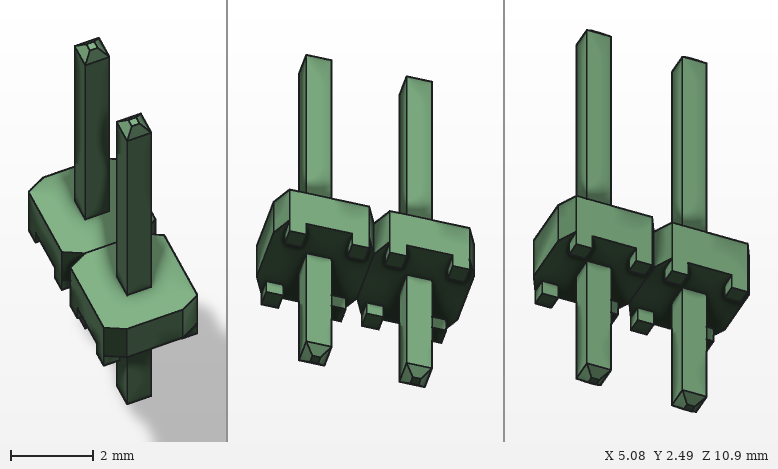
import cadquery as cq

pin_count = 2
row_length = 5.08
pitch = row_length / pin_count

housing_depth = 2.49
housing_height = 1.12
corner_x = 0.26
corner_y = 0.5
foot_size = 0.43
foot_height = 0.39

pin_length = 10.92
pin_below = 3.44
pin_width = 0.64
tip_height = 0.22
tip_width = 0.21


def make_housing():
    """Block with four cut corners, four square feet and a square through hole."""
    half_x = pitch / 2
    half_y = housing_depth / 2
    flat_x = half_x - corner_x
    flat_y = half_y - corner_y
    outline = [
        (-flat_x, -half_y),
        (flat_x, -half_y),
        (half_x, -flat_y),
        (half_x, flat_y),
        (flat_x, half_y),
        (-flat_x, half_y),
        (-half_x, flat_y),
        (-half_x, -flat_y),
    ]
    block = cq.Workplane("XY").polyline(outline).close().extrude(housing_height)

    foot_spacing_x = 2 * flat_x - foot_size
    foot_spacing_y = housing_depth - foot_size
    feet = (
        cq.Workplane("XY")
        .rarray(foot_spacing_x, foot_spacing_y, 2, 2)
        .rect(foot_size, foot_size)
        .extrude(-foot_height)
    )
    pin_hole = cq.Workplane("XY").rect(pin_width, pin_width).extrude(housing_height)
    return block.union(feet).cut(pin_hole)


def make_tip(base_z, end_z):
    """Blunt pyramid from the full pin width at base_z to the flat at end_z."""
    return (
        cq.Workplane("XY", origin=(0, 0, base_z))
        .rect(pin_width, pin_width)
        .workplane(offset=end_z - base_z)
        .rect(tip_width, tip_width)
        .loft(ruled=True)
    )


def make_pin():
    """Square pin with a blunt pyramid at each end."""
    bottom = -pin_below
    top = bottom + pin_length
    shank_bottom = bottom + tip_height
    shank_top = top - tip_height
    shank = (
        cq.Workplane("XY", origin=(0, 0, shank_bottom))
        .rect(pin_width, pin_width)
        .extrude(shank_top - shank_bottom)
    )
    return shank.union(make_tip(shank_top, top)).union(make_tip(shank_bottom, bottom))


bodies = []
for index in range(pin_count):
    place = cq.Vector((index - (pin_count - 1) / 2) * pitch, 0, 0)
    housing = make_housing().translate(place)
    pin = make_pin().translate(place)
    bodies += [housing.val(), pin.val()]

result = cq.Compound.makeCompound(bodies)